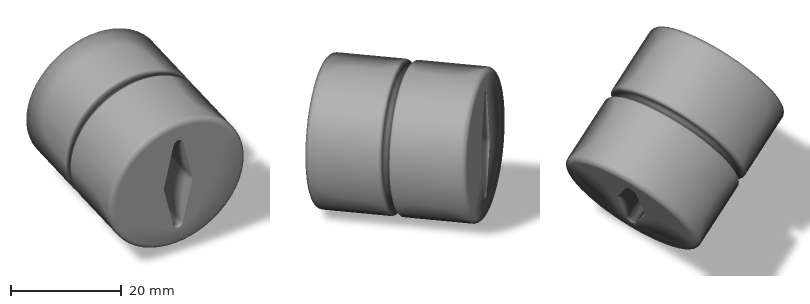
import cadquery as cq
import math

length = 30.0
diameter = 28.5
end_fillet = 1.0

groove_width = 1.5
groove_depth = 1.75
groove_fillet = 0.5

slot_width = 6.0
slot_height = 20.5
slot_tip_radius = 1.0
slot_side_radius = 2.0

radius = diameter / 2


def make_body():
    """Cylinder with rounded ends."""
    cylinder = cq.Workplane("YZ").circle(radius).extrude(length / 2, both=True)
    return cylinder.faces("<X or >X").edges().fillet(end_fillet)


def make_groove_cutter():
    """Ring with a rounded floor and flared, rounded lips."""
    half_width = groove_width / 2
    floor_radius = radius - groove_depth
    lip_half_width = half_width + groove_fillet
    floor_half_width = half_width - groove_fillet
    margin = 1.0
    profile = (
        cq.Workplane("XY")
        .moveTo(-lip_half_width, radius + margin)
        .lineTo(-lip_half_width, radius)
        .radiusArc((-half_width, radius - groove_fillet), groove_fillet)
        .lineTo(-half_width, floor_radius + groove_fillet)
        .radiusArc((-floor_half_width, floor_radius), -groove_fillet)
        .lineTo(floor_half_width, floor_radius)
        .radiusArc((half_width, floor_radius + groove_fillet), -groove_fillet)
        .lineTo(half_width, radius - groove_fillet)
        .radiusArc((lip_half_width, radius), groove_fillet)
        .lineTo(lip_half_width, radius + margin)
        .close()
    )
    return profile.revolve(360, (0, 0, 0), (1, 0, 0))


def make_slot_cutter():
    """Diamond prism whose flats run tangent to the tip and side arcs."""
    half_width = slot_width / 2
    half_height = slot_height / 2
    side_center_y = half_width - slot_side_radius
    tip_center_z = half_height - slot_tip_radius

    center_distance = math.hypot(side_center_y, tip_center_z)
    flat_angle = math.atan2(side_center_y, tip_center_z) + math.asin(
        (slot_side_radius - slot_tip_radius) / center_distance
    )
    side_y = side_center_y + slot_side_radius * math.cos(flat_angle)
    side_z = slot_side_radius * math.sin(flat_angle)
    tip_y = slot_tip_radius * math.cos(flat_angle)
    tip_z = tip_center_z + slot_tip_radius * math.sin(flat_angle)

    outline = (
        cq.Workplane("YZ")
        .moveTo(side_y, -side_z)
        .threePointArc((half_width, 0), (side_y, side_z))
        .lineTo(tip_y, tip_z)
        .threePointArc((0, half_height), (-tip_y, tip_z))
        .lineTo(-side_y, side_z)
        .threePointArc((-half_width, 0), (-side_y, -side_z))
        .lineTo(-tip_y, -tip_z)
        .threePointArc((0, -half_height), (tip_y, -tip_z))
        .close()
    )
    return outline.extrude(length, both=True)


result = make_body().cut(make_groove_cutter()).cut(make_slot_cutter())